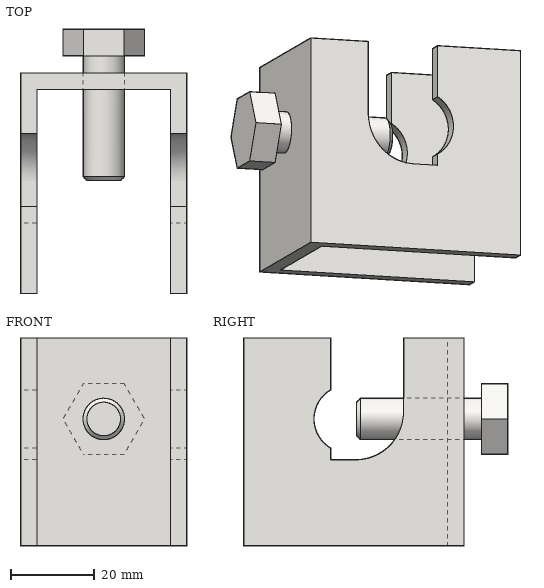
import cadquery as cq
import math

BRACKET_WIDTH = 40.0
BRACKET_HEIGHT = 50.0
TOTAL_LENGTH = 63.6
BRACKET_DEPTH = 53.0
WALL = 4.0

SLOT_FRONT = 21.0
SLOT_BACK = 38.45
SLOT_FLOOR = 20.7
SLOT_CORNER_RADIUS = 11.5
SEAT_CHORD = 14.0
SEAT_DEPTH = 4.0

BOLT_HEIGHT = 30.5
SHANK_DIAMETER = 10.0
SHANK_LENGTH = 30.0
TIP_CHAMFER = 0.95
HEAD_ACROSS_FLATS = 17.0
HEAD_THICKNESS = 6.4
HEAD_ACROSS_CORNERS = HEAD_ACROSS_FLATS / math.cos(math.pi / 6)
HEAD_BEARING_Y = TOTAL_LENGTH - HEAD_THICKNESS


def bolt_section(y):
    """Workplane across the bolt axis at y, with its normal toward -Y."""
    return cq.Workplane("XZ", origin=(0, y, BOLT_HEIGHT))


def slot_cutter():
    """Hook slot profile in the YZ plane, extruded across both side walls."""
    corner_offset = SLOT_CORNER_RADIUS * (1 - math.sqrt(0.5))
    return (
        cq.Workplane("YZ")
        .moveTo(SLOT_FRONT, BRACKET_HEIGHT)
        .lineTo(SLOT_FRONT, BOLT_HEIGHT + SEAT_CHORD / 2)
        .threePointArc(
            (SLOT_FRONT - SEAT_DEPTH, BOLT_HEIGHT),
            (SLOT_FRONT, BOLT_HEIGHT - SEAT_CHORD / 2),
        )
        .lineTo(SLOT_FRONT, SLOT_FLOOR)
        .lineTo(SLOT_BACK - SLOT_CORNER_RADIUS, SLOT_FLOOR)
        .threePointArc(
            (SLOT_BACK - corner_offset, SLOT_FLOOR + corner_offset),
            (SLOT_BACK, SLOT_FLOOR + SLOT_CORNER_RADIUS),
        )
        .lineTo(SLOT_BACK, BRACKET_HEIGHT)
        .close()
        .extrude(BRACKET_WIDTH / 2, both=True)
    )


def make_bracket():
    """Channel with slotted side walls and a bolt hole in the back wall."""
    outside = cq.Workplane("XY").box(
        BRACKET_WIDTH, BRACKET_DEPTH, BRACKET_HEIGHT, centered=(True, False, False)
    )
    inside = cq.Workplane("XY").box(
        BRACKET_WIDTH - 2 * WALL, BRACKET_DEPTH - WALL, BRACKET_HEIGHT, centered=(True, False, False)
    )
    bolt_hole = bolt_section(BRACKET_DEPTH).circle(SHANK_DIAMETER / 2).extrude(WALL)
    return outside.cut(inside).cut(slot_cutter()).cut(bolt_hole)


def make_bolt():
    """Hexagon head with a plain shank, chamfered at the tip."""
    head = bolt_section(TOTAL_LENGTH).polygon(6, HEAD_ACROSS_CORNERS).extrude(HEAD_THICKNESS)
    shank = (
        bolt_section(HEAD_BEARING_Y)
        .circle(SHANK_DIAMETER / 2)
        .extrude(SHANK_LENGTH)
        .faces("<Y")
        .chamfer(TIP_CHAMFER)
    )
    return head.union(shank)


bracket = make_bracket()
bolt = make_bolt()
result = cq.Compound.makeCompound([bracket.val(), bolt.val()])